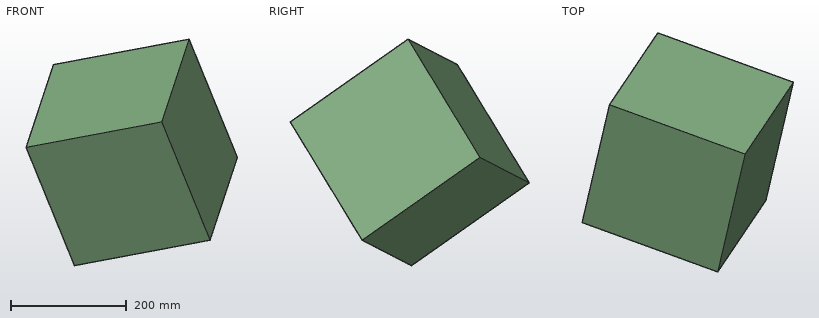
import cadquery as cq

cube_side = 254.0

tilt_about_x = 35.0
tilt_about_y = -10.0
tilt_about_z = -20.0

ORIGIN = (0, 0, 0)
X_AXIS = (1, 0, 0)
Y_AXIS = (0, 1, 0)
Z_AXIS = (0, 0, 1)


def tilted_cube():
    """Solid cube centred on the origin and turned about each axis in sequence."""
    cube = cq.Workplane("XY").box(cube_side, cube_side, cube_side)
    cube = cube.rotate(ORIGIN, X_AXIS, tilt_about_x)
    cube = cube.rotate(ORIGIN, Y_AXIS, tilt_about_y)
    return cube.rotate(ORIGIN, Z_AXIS, tilt_about_z)


result = tilted_cube()